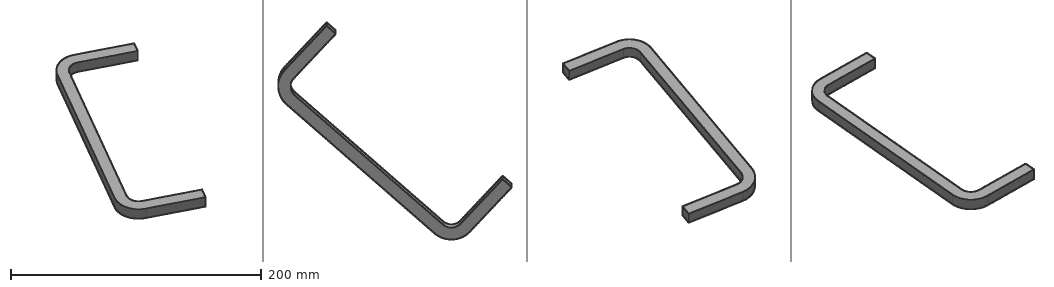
import cadquery as cq

length = 200.0
depth = 70.0
bar_size = 10.0

inner_radius = 10.0
outer_radius = inner_radius + bar_size

outer = (
    cq.Workplane("XY")
    .box(length, depth, bar_size)
    .edges("|Z and <Y")
    .fillet(outer_radius)
)

gap = (
    cq.Workplane("XY")
    .box(length - 2 * bar_size, depth, bar_size)
    .edges("|Z and <Y")
    .fillet(inner_radius)
    .translate((0, bar_size, 0))
)

result = outer.cut(gap)